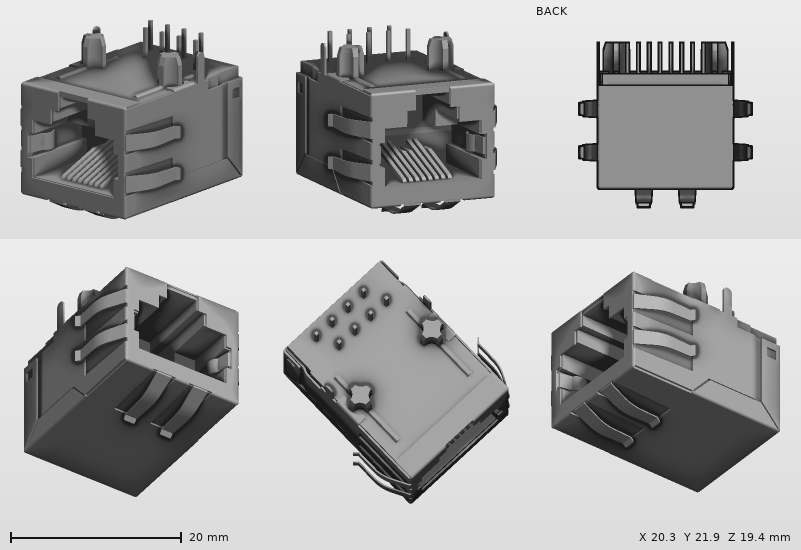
import cadquery as cq
import math

SHELL_X = 15.97
SHELL_Y = 21.85
SHEET = 0.25
CLEARANCE = 0.09
BODY_TOP = 13.56
PIN_TOP = 17.2
BEND = 0.33

HALF_X = SHELL_X / 2
HALF_Y = SHELL_Y / 2
INNER_X = HALF_X - SHEET
INNER_Y = HALF_Y - SHEET
HOUSING_X = INNER_X - CLEARANCE
HOUSING_FRONT = -INNER_Y + CLEARANCE
SHELL_Z = BODY_TOP + SHEET
SIDES = (-1, 1)

STEP_START = 6.62
STEP_END = 8.05
NARROW_X = HOUSING_X - SHEET
REAR_TOP = 12.2
REAR_NOTCH_Y = 4.43
SIDE_TOP = 13.5
SIDE_BOTTOM = SHEET + CLEARANCE
TOP_STRIP_Y = -8.08

FLAP_TOP = 3.04
FLAP_FRONT = -2.25
FLAP_REAR = 10.64
FLAP_RUN = 2.5
FLAP_TOP_GAP = 0.13
FLAP_END_GAP = 0.3

WINDOW_Y = 9.5
WINDOW_Z = 10.6
WINDOW = 1.3
LATCH_RUN = 1.0
LATCH_RISE = 0.22

KEY_TOP = 13.1
SHIELD_KEY_X = 2.2
SHIELD_STEP_X = 3.35
SHIELD_STEP_TOP = 11.38
PLUG_X = 6.15
SHIELD_PLUG_TOP = 9.5
SHIELD_WING_X = 6.88
SHIELD_WING_TOP = 7.82
WING_BOTTOM = 4.76
PLUG_BOTTOM = 2.38
REVEAL = 0.07
CAVITY_FLOOR = PLUG_BOTTOM + REVEAL
CAVITY_KEY_BOTTOM = 11.66
CAVITY_STEP_X = 3.17
CAVITY_PLUG_TOP = 9.83
PLUG_STOP_DEPTH = 6.55
CAVITY_WING_TOP = 7.73
CAVITY_DEPTH = 10.05
BACK_SLOPE_BOTTOM = 6.3
BACK_SLOPE_TOP = 6.92
BACK_SLOPE_DEPTH = 0.15

CONTACT_COUNT = 8
CONTACT_SPAN = 5.79
CONTACT_PITCH = CONTACT_SPAN / (CONTACT_COUNT - 1)
CONTACT_W = 0.48
CONTACT_FRONT = 1.64
NOSE_RISE = 0.45
NOSE_RUN = 0.33
NOSE_R = 0.75
CONTACT_SLOPE = 0.35
HEEL_RUN = 0.13
LOW_CONTACT_TOP = 4.87
HIGH_CONTACT_TOP = 5.72
HIGH_CONTACTS = (1, 2, 5, 6)

PIN_COUNT = 8
PIN_SPAN = 8.89
PIN_PITCH = PIN_SPAN / (PIN_COUNT - 1)
PIN_W = 0.41
PIN_ROW_Y = (8.89, 6.35)

POST_X = 5.75
POST_REACH = 1.57
LOBE_HALF_W = 0.35
LOBE_STRAIGHT = 1.38
POST_WAIST = 0.68
POST_TAPER_Z = 0.96
POST_TAPER = 0.3
RIB_X = 5.77
RIB_REAR = 4.15
RIB_FRONT = -6.49
RIB_BASE = 0.79
RIB_CREST = 0.33

TAB_Y = 3.04
TAB_W = 1.2
TAB_TIP_R = 0.57
CLIP_W = 3.78
CLIP_REACH = 1.3
CLIP_CORNER = 0.13
POST_CLEARANCE = 0.09

SPRING_T = 0.164
SPRING_SPACING = 5.09
SPRING_SIDE_Z = 6.88
SPRING_RISE = 1.7
SPRING_ANGLE = math.radians(28)
SPRING_CURVE = (2.18, 4.52)
SPRING_TIP_BEND = 7.1
SPRING_TIP_ANGLE = math.radians(45)
SPRING_TIP_RISE = 2.16
SPRING_END = 7.67
SPRING_ROOT = (0.09, 0.22)
SPRING_ROOT_INSET = 0.12
SPRING_ROOT_W = 2.03
SPRING_END_W = 1.49
SPRING_TIP_R = 0.26
SLOT_LENGTH = 8.8
SLOT_ROOT_W = 3.12
SLOT_END_W = 2.51

LEAF_BOTTOM = 5.3
LEAF_TOP = 7.34
LEAF_T = 0.164
LEAF_BULGE_X = 6.22
LEAF_CREST_X = 5.68
LEAF_BULGE = (1.97, 4.15)


def box(x0, x1, y0, y1, z0, z1):
    """Axis-aligned block between the given limits."""
    size = (x1 - x0, y1 - y0, z1 - z0)
    return cq.Workplane("XY").box(*size, centered=False).translate((x0, y0, z0))


def mirrored(left):
    """A feature and its copy on the other side of the x = 0 plane."""
    return left.union(left.mirror("YZ"))


def front_prism(half_outline, y0, y1):
    """Symmetric (x, z) outline, given by its +X half from top to bottom, between two y."""
    other_half = [(-x, z) for x, z in reversed(half_outline)]
    prism = cq.Workplane("XZ").polyline(half_outline + other_half).close().extrude(y0 - y1)
    return prism.translate((0, y0, 0))


def housing_block():
    block = box(-HOUSING_X, HOUSING_X, HOUSING_FRONT, INNER_Y, SHEET, BODY_TOP)
    recess = box(-HOUSING_X, -NARROW_X, STEP_START, INNER_Y, SHEET, BODY_TOP)
    return block.cut(mirrored(recess))


def jack_cavity():
    """Stepped plug cavity whose back wall leans back above the contacts."""
    key_x = SHIELD_KEY_X - REVEAL
    wing_x = SHIELD_WING_X - REVEAL
    plug_x = PLUG_X - REVEAL
    back = CAVITY_DEPTH - HALF_Y
    deepest = back + BACK_SLOPE_DEPTH
    full_depth_outline = [
        (key_x, KEY_TOP),
        (key_x, CAVITY_KEY_BOTTOM),
        (CAVITY_STEP_X, CAVITY_KEY_BOTTOM),
        (CAVITY_STEP_X, CAVITY_WING_TOP),
        (wing_x, CAVITY_WING_TOP),
        (wing_x, WING_BOTTOM),
        (plug_x, WING_BOTTOM),
        (plug_x, CAVITY_FLOOR),
    ]
    cavity = front_prism(full_depth_outline, HOUSING_FRONT, deepest)
    back_step = (
        cq.Workplane("YZ")
        .polyline([(back, CAVITY_FLOOR), (back, BACK_SLOPE_BOTTOM),
                   (deepest, BACK_SLOPE_TOP), (deepest, CAVITY_FLOOR)])
        .close()
        .extrude(wing_x, both=True)
    )
    plug_stop = PLUG_STOP_DEPTH - HALF_Y
    plug_entry = box(-plug_x, plug_x, HOUSING_FRONT, plug_stop, CAVITY_WING_TOP, CAVITY_PLUG_TOP)
    return cavity.cut(back_step).union(plug_entry)


def contact(index):
    """Strip rising from the cavity floor to a level end that enters the back wall."""
    x = (index - (CONTACT_COUNT - 1) / 2) * CONTACT_PITCH
    top = HIGH_CONTACT_TOP if index in HIGH_CONTACTS else LOW_CONTACT_TOP
    front = CONTACT_FRONT - HALF_Y
    back = CAVITY_DEPTH - HALF_Y
    nose_y = front + NOSE_RUN
    nose_z = CAVITY_FLOOR + NOSE_RISE
    thickness = NOSE_RISE + HEEL_RUN * CONTACT_SLOPE
    shelf_y = nose_y + (top - nose_z) / CONTACT_SLOPE
    blade = (
        cq.Workplane("YZ")
        .moveTo(front, CAVITY_FLOOR)
        .radiusArc((nose_y, nose_z), NOSE_R)
        .lineTo(shelf_y, top)
        .lineTo(back, top)
        .lineTo(back, top - thickness)
        .lineTo(shelf_y, top - thickness)
        .lineTo(nose_y + HEEL_RUN, CAVITY_FLOOR)
        .close()
        .extrude(CONTACT_W / 2, both=True)
    )
    return blade.translate((x, 0, 0))


def board_pin(index):
    x = (index - (PIN_COUNT - 1) / 2) * PIN_PITCH
    y = PIN_ROW_Y[index % 2]
    half = PIN_W / 2
    return box(x - half, x + half, y - half, y + half, BODY_TOP, PIN_TOP)


def quarter_turned(x, y, quarters):
    """Point turned about the origin by a number of quarter turns."""
    for _ in range(quarters):
        x, y = -y, x
    return (x, y)


def locating_post():
    """Four-lobed post with tapered lobe tips."""
    height = PIN_TOP - BODY_TOP
    outline = cq.Workplane("XY").moveTo(POST_REACH, -LOBE_HALF_W)
    for quarter in range(4):
        outline = (
            outline.lineTo(*quarter_turned(POST_REACH, LOBE_HALF_W, quarter))
            .lineTo(*quarter_turned(LOBE_STRAIGHT, LOBE_HALF_W, quarter))
            .threePointArc(quarter_turned(POST_WAIST, POST_WAIST, quarter),
                           quarter_turned(LOBE_HALF_W, LOBE_STRAIGHT, quarter))
            .lineTo(*quarter_turned(LOBE_HALF_W, POST_REACH, quarter))
        )
    post = outline.close().extrude(height)
    envelope = (
        cq.Workplane("XY")
        .box(2 * POST_REACH, 2 * POST_REACH, height, centered=(True, True, False))
        .faces(">Z")
        .chamfer(POST_TAPER_Z, POST_TAPER)
    )
    return post.intersect(envelope).translate((-POST_X, 0, BODY_TOP))


def crush_rib():
    rib = (
        cq.Workplane("XZ")
        .polyline([(-RIB_BASE / 2, BODY_TOP), (RIB_BASE / 2, BODY_TOP),
                   (RIB_CREST / 2, SHELL_Z), (-RIB_CREST / 2, SHELL_Z)])
        .close()
        .extrude(RIB_REAR - RIB_FRONT)
    )
    return rib.translate((-RIB_X, RIB_REAR, 0))


def make_housing():
    body = housing_block().cut(jack_cavity())
    body = body.union(mirrored(crush_rib())).union(mirrored(locating_post()))
    for index in range(CONTACT_COUNT):
        body = body.union(contact(index))
    for index in range(PIN_COUNT):
        body = body.union(board_pin(index))
    return body


def bent_shell():
    """Sheet box with an open top behind the front strip and a lowered rear."""
    shell = box(-HALF_X, HALF_X, -HALF_Y, HALF_Y, 0, SHELL_Z).edges().fillet(BEND)
    shell = shell.cut(box(-INNER_X, INNER_X, -INNER_Y, INNER_Y, SHEET, BODY_TOP))
    shell = shell.cut(box(-HALF_X, HALF_X, TOP_STRIP_Y, HALF_Y, SIDE_TOP, SHELL_Z))
    shell = shell.cut(mirrored(box(-HALF_X, -INNER_X, -INNER_Y, HALF_Y, SIDE_TOP, SHELL_Z)))
    shell = shell.cut(mirrored(box(-HALF_X, -INNER_X, -INNER_Y, FLAP_FRONT, 0, SIDE_BOTTOM)))
    return shell.cut(box(-HALF_X, HALF_X, REAR_NOTCH_Y, HALF_Y, REAR_TOP, SHELL_Z))


def shield_mouth():
    outline = [
        (SHIELD_KEY_X, SHELL_Z),
        (SHIELD_KEY_X, SHIELD_STEP_TOP),
        (SHIELD_STEP_X, SHIELD_STEP_TOP),
        (SHIELD_STEP_X, SHIELD_PLUG_TOP),
        (PLUG_X, SHIELD_PLUG_TOP),
        (PLUG_X, SHIELD_WING_TOP),
        (SHIELD_WING_X, SHIELD_WING_TOP),
        (SHIELD_WING_X, WING_BOTTOM),
        (PLUG_X, WING_BOTTOM),
        (PLUG_X, PLUG_BOTTOM),
    ]
    return front_prism(outline, -HALF_Y, -INNER_Y)


def step_cutout():
    """Opening in the flat side panel where it steps inward."""
    return box(-HALF_X, -INNER_X, STEP_START, STEP_END, FLAP_TOP, REAR_TOP)


def stepped_panel():
    """S-shaped step of the side panel and its run under the rear flap."""
    depth = SHEET + CLEARANCE
    half_run = (STEP_END - STEP_START) / 2
    radius = (half_run ** 2 + (depth / 2) ** 2) / depth
    middle_y = STEP_START + half_run
    return (
        cq.Workplane("XY", origin=(0, 0, FLAP_TOP))
        .moveTo(-HALF_X, STEP_START)
        .radiusArc((-HALF_X + depth / 2, middle_y), radius)
        .radiusArc((-HOUSING_X, STEP_END), -radius)
        .lineTo(-HOUSING_X, INNER_Y)
        .lineTo(-NARROW_X, INNER_Y)
        .lineTo(-NARROW_X, STEP_END)
        .radiusArc((-NARROW_X - depth / 2, middle_y), radius)
        .radiusArc((-INNER_X, STEP_START), -radius)
        .close()
        .extrude(REAR_TOP - FLAP_TOP)
    )


def flap_shape(top_gap, end_gap):
    """Trapezoid of the floor flap, shrunk by a gap along its top and its sloped ends."""
    height = FLAP_TOP - SHEET - top_gap
    run = FLAP_RUN * height / (FLAP_TOP - SHEET)
    front = FLAP_FRONT + end_gap
    rear = FLAP_REAR - end_gap
    return (
        cq.Workplane("YZ", origin=(-HALF_X, 0, SHEET))
        .polyline([(front, 0), (rear, 0), (rear - run, height), (front + run, height)])
        .close()
        .extrude(SHEET)
    )


def flap_groove():
    return flap_shape(0, 0).cut(flap_shape(FLAP_TOP_GAP, FLAP_END_GAP))


def latch_window():
    half = WINDOW / 2
    return box(-HALF_X, -INNER_X, WINDOW_Y - half, WINDOW_Y + half, WINDOW_Z - half, WINDOW_Z + half)


def latch_wedge():
    """Ramp on the stepped panel that falls toward the rear of the latch window."""
    front = WINDOW_Y - WINDOW / 2
    rear = front + LATCH_RUN
    return (
        cq.Workplane("XY", origin=(0, 0, WINDOW_Z - WINDOW / 2))
        .polyline([(-HOUSING_X, front), (-HOUSING_X - LATCH_RISE, front), (-HOUSING_X, rear)])
        .close()
        .extrude(WINDOW)
    )


def board_tab():
    """Round-ended tab standing on the side panel."""
    tab = box(-HALF_X, -INNER_X, TAB_Y - TAB_W / 2, TAB_Y + TAB_W / 2, REAR_TOP, PIN_TOP)
    return tab.edges("|X and >Z").fillet(TAB_TIP_R)


def hold_down_clip():
    """Clip bent over the housing top, hollowed around the locating post."""
    inner = -HALF_X + CLIP_REACH
    plate = box(-HALF_X, inner, -CLIP_W / 2, CLIP_W / 2, REAR_TOP, SHELL_Z)
    plate = plate.edges("|Y and <X and >Z").fillet(BEND)
    plate = plate.edges("|Z and >X").fillet(CLIP_CORNER)
    plate = plate.cut(box(-INNER_X, inner, -CLIP_W / 2, CLIP_W / 2, REAR_TOP, BODY_TOP))
    hollow = (
        cq.Workplane("XY", origin=(-POST_X, 0, BODY_TOP))
        .circle(POST_REACH + POST_CLEARANCE)
        .extrude(SHEET)
    )
    return plate.cut(hollow)


def tapered_strip(root_w, end_w, length, depth):
    """Trapezoid in the Y-Z plane, running back from y = 0, extruded by the depth to both sides."""
    return (
        cq.Workplane("YZ")
        .polyline([(0, -root_w / 2), (length, -end_w / 2), (length, end_w / 2), (0, root_w / 2)])
        .close()
        .extrude(depth, both=True)
    )


def spring():
    """Grounding spring on the left face: x = 0 is the panel face and y = 0 the shield front."""
    curve_start, curve_end = SPRING_CURVE
    outer_r = (curve_end - curve_start) / math.sin(SPRING_ANGLE)
    inner_r = outer_r - SPRING_T
    centre_rise = SPRING_RISE - outer_r

    def on_curve(radius, angle):
        return (-centre_rise - radius * math.cos(angle), curve_end - radius * math.sin(angle))

    def lead_in(radius, y):
        """Point at y on the straight lead-in that is tangent to the curve."""
        x_start, y_start = on_curve(radius, SPRING_ANGLE)
        return (x_start + (y_start - y) * math.tan(SPRING_ANGLE), y)

    half_angle = SPRING_ANGLE / 2
    flat_outer = -SPRING_RISE
    flat_inner = flat_outer + SPRING_T
    tip_width = SPRING_T * math.cos(SPRING_TIP_ANGLE)
    tip_bend_inner = SPRING_TIP_BEND + SPRING_T * math.tan(SPRING_TIP_ANGLE / 2)
    root_x = SHEET + SPRING_ROOT_INSET
    root_front, root_back = SPRING_ROOT
    profile = (
        cq.Workplane("XY")
        .moveTo(root_x, root_front)
        .lineTo(*lead_in(outer_r, root_front))
        .lineTo(*on_curve(outer_r, SPRING_ANGLE))
        .threePointArc(on_curve(outer_r, half_angle), (flat_outer, curve_end))
        .lineTo(flat_outer, SPRING_TIP_BEND)
        .lineTo(-SPRING_TIP_RISE, SPRING_END - tip_width)
        .lineTo(-SPRING_TIP_RISE + tip_width, SPRING_END)
        .lineTo(flat_inner, tip_bend_inner)
        .lineTo(flat_inner, curve_end)
        .threePointArc(on_curve(inner_r, half_angle), on_curve(inner_r, SPRING_ANGLE))
        .lineTo(*lead_in(inner_r, root_back))
        .lineTo(root_x, root_back)
        .close()
        .extrude(SPRING_ROOT_W / 2, both=True)
    )
    outline = tapered_strip(SPRING_ROOT_W, SPRING_END_W, SPRING_END, 2 * SPRING_TIP_RISE)
    return profile.intersect(outline.edges("|X and >Y").fillet(SPRING_TIP_R))


def spring_slot():
    """Relief around a spring, cut through the panel from its face at x = 0."""
    slot = tapered_strip(SLOT_ROOT_W, SLOT_END_W, SLOT_LENGTH, SHEET)
    return slot.intersect(box(0, SHEET, 0, SLOT_LENGTH, -SLOT_ROOT_W, SLOT_ROOT_W))


def at_spring_places(feature):
    """Copies of a left-face feature: two on each side panel and two on the floor."""
    on_floor = feature.rotate((0, 0, 0), (0, 1, 0), -90)
    copies = []
    for side in SIDES:
        offset = side * SPRING_SPACING / 2
        left = feature.translate((-HALF_X, -HALF_Y, SPRING_SIDE_Z + offset))
        copies.append(left)
        copies.append(left.mirror("YZ"))
        copies.append(on_floor.translate((offset, -HALF_Y, 0)))
    return copies


def contact_leaf():
    """Leaf bent back from the mouth edge, with a bulge toward the plug."""
    root_x = -SHIELD_WING_X
    neck_x = root_x + BEND
    neck_y = -HALF_Y + BEND
    bulge_x = -LEAF_BULGE_X
    crest_x = -LEAF_CREST_X
    bulge_front, bulge_back = (depth - HALF_Y for depth in LEAF_BULGE)
    crest_y = (bulge_front + bulge_back) / 2
    return (
        cq.Workplane("XY", origin=(0, 0, LEAF_BOTTOM))
        .moveTo(root_x, -HALF_Y)
        .radiusArc((neck_x, neck_y), BEND)
        .lineTo(bulge_x, bulge_front)
        .threePointArc((crest_x, crest_y), (bulge_x, bulge_back))
        .lineTo(bulge_x - LEAF_T, bulge_back)
        .threePointArc((crest_x - LEAF_T, crest_y), (bulge_x - LEAF_T, bulge_front))
        .lineTo(neck_x - LEAF_T, neck_y)
        .radiusArc((root_x, -HALF_Y + LEAF_T), LEAF_T - BEND)
        .close()
        .extrude(LEAF_TOP - LEAF_BOTTOM)
    )


def make_shield():
    shield = bent_shell().cut(shield_mouth())
    shield = shield.cut(mirrored(step_cutout())).cut(mirrored(flap_groove()))
    shield = shield.cut(mirrored(latch_window()))
    for slot in at_spring_places(spring_slot()):
        shield = shield.cut(slot)
    for feature in (stepped_panel(), latch_wedge(), board_tab(), hold_down_clip(), contact_leaf()):
        shield = shield.union(mirrored(feature))
    for arm in at_spring_places(spring()):
        shield = shield.union(arm)
    return shield


housing = make_housing()
shield = make_shield()
result = cq.Compound.makeCompound([housing.solids().val(), shield.solids().val()])